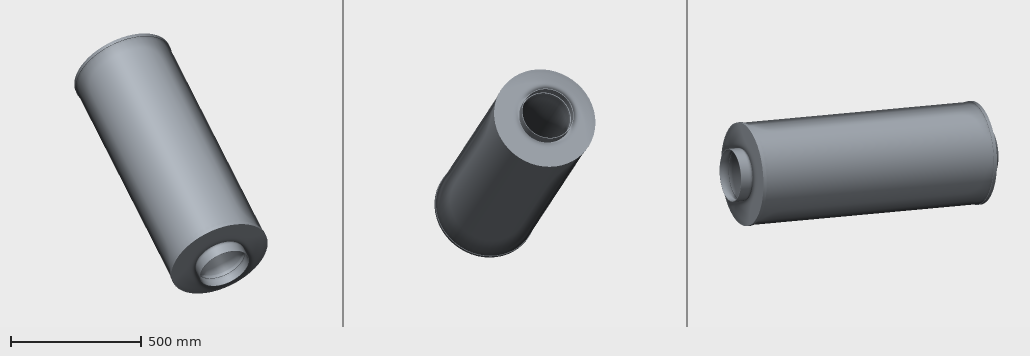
import cadquery as cq

total_length = 1082.0
end_cap_diameter = 400.0
shell_diameter = 395.0

collar_length = 44.0
end_cap_offset = 50.0
end_cap_width = 13.0
socket_depth = 37.0
end_plate_thickness = 1.0
lip_end = end_cap_offset + end_plate_thickness

collar_diameter = 205.0
pipe_diameter = 200.0
lip_diameter = 195.0
bore_diameter = pipe_diameter


def cylinder(diameter, length, start):
    """Solid cylinder along X that begins at the given X position."""
    return cq.Workplane("YZ", origin=(start, 0, 0)).circle(diameter / 2).extrude(length)


def centered_cylinder(diameter, end_inset):
    """Cylinder centered on the part, stopping short of both ends by end_inset."""
    length = total_length - 2 * end_inset
    return cylinder(diameter, length, -length / 2)


def at_both_ends(diameter, end_inset, width):
    """Pair of mirrored cylinders, each set in from its end by end_inset."""
    left = cylinder(diameter, width, -total_length / 2 + end_inset)
    return left.union(left.mirror("YZ"))


body = centered_cylinder(shell_diameter, end_cap_offset)
body = body.union(centered_cylinder(pipe_diameter, 0))

body = body.union(at_both_ends(end_cap_diameter, end_cap_offset, end_cap_width))
body = body.union(at_both_ends(collar_diameter, 0, collar_length))

body = body.cut(centered_cylinder(lip_diameter, 0))
body = body.cut(at_both_ends(bore_diameter, 0, socket_depth))
result = body.cut(centered_cylinder(bore_diameter, lip_end))